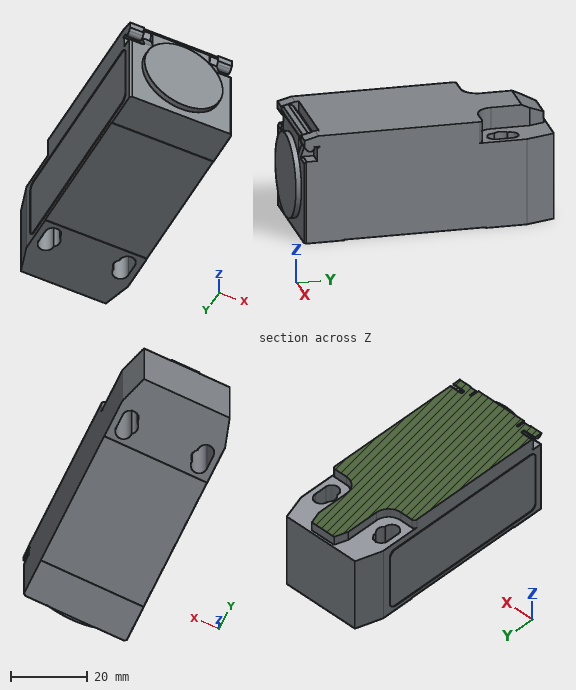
import cadquery as cq
import math

WIDTH = 30.0
LENGTH = 68.0
HEIGHT = 30.0
HALF_WIDTH = WIDTH / 2
REAR_BEVEL_X = 2.5
REAR_BEVEL_Y = 8.0
FRONT_BEVEL_X = 0.6
FRONT_BEVEL_Y = 0.45

LEDGE_Z = 24.0
LEDGE_FRONT_Y = 48.2
LEDGE_OUTER_RADIUS = 0.9

FINGER_HALF_WIDTH = 5.45
FINGER_ROOT_RADIUS = 4.5
FINGER_END_Y = 67.25
FINGER_TIP_HALF_WIDTH = 4.1
FINGER_TAPER_Y = 63.2
FINGER_SLOPE_Y = 61.0
FINGER_TIP_Z = 27.1

SLOT_X = 11.0
SLOT_Y = 54.55
SLOT_DIAMETER = 4.4
SLOT_LENGTH = 8.35
SLOT_HOLE_X = 10.15

PLUG_DIAMETER = 23.0
PLUG_Z = 14.0
PLUG_LENGTH = 1.5

LABEL_THICKNESS = 0.2
LABEL_Y = (2.6, 57.5)
LABEL_Z = (1.7, 21.8)
LABEL_RADIUS = 2.0

RELIEF_Y = (10.7, 49.1)
RELIEF_DEPTH = 0.2

NOSE_SLOPE_Y = 3.8
NOSE_FRONT_Z = 29.0
BAR_HALF_LENGTH = 10.95
BAR_GROOVE_Y = 4.8
BAR_REAR_Y = 4.0
BAR_CREST_Y = 1.9
BAR_DROP = 0.05
BAR_LIP_Y = 0.5
BAR_FRONT_Y = 0.1
BAR_FRONT_Z = 28.0
LID_Z = 27.0

SHOULDER_Z = 23.0
SHOULDER_BEVEL = 0.6
GAP_WALL_Y = 3.45
GAP_WALL_TOP_Z = 26.5
GAP_REAR_Y = 4.1
HOOK_REAR_Y = 2.75
HOOK_BOTTOM_Y = 1.4
HOOK_BOTTOM_Z = 25.78
HOOK_TOE_Y = 0.6
HOOK_TOE_Z = 26.3

RECESS_TOP_Y = 0.9
BAR_END_FRONT_Y = 0.3
BAR_END_BULGE_Y = 0.35
TAB_HALF_WIDTH = 8.35
HOOK_INNER_X = 8.75

SIDES = (-1, 1)


def nose_z(y):
    """Height of the sloped nose at a distance y behind the front face."""
    return NOSE_FRONT_Z + (HEIGHT - NOSE_FRONT_Z) * y / NOSE_SLOPE_Y


def quarter_bend(center_y, center_z, outer_y, outer_z):
    """Middle point of a rounded quarter reaching outer_y and outer_z about its centre."""
    diagonal = math.sqrt(0.5)
    return (
        center_y + (outer_y - center_y) * diagonal,
        center_z + (outer_z - center_z) * diagonal,
    )


def profile_at(x):
    """Sketch plane across X; its local axes are Y and Z."""
    return cq.Workplane("YZ", origin=(x, 0, 0))


def make_body():
    rear_half_width = HALF_WIDTH - REAR_BEVEL_X
    front_half_width = HALF_WIDTH - FRONT_BEVEL_X
    return (
        cq.Workplane("XY")
        .moveTo(-front_half_width, 0)
        .lineTo(front_half_width, 0)
        .lineTo(HALF_WIDTH, FRONT_BEVEL_Y)
        .lineTo(HALF_WIDTH, LENGTH - REAR_BEVEL_Y)
        .lineTo(rear_half_width, LENGTH)
        .lineTo(-rear_half_width, LENGTH)
        .lineTo(-HALF_WIDTH, LENGTH - REAR_BEVEL_Y)
        .lineTo(-HALF_WIDTH, FRONT_BEVEL_Y)
        .close()
        .extrude(LEDGE_Z)
    )


def make_lid():
    root_y = LEDGE_FRONT_Y + FINGER_ROOT_RADIUS
    root_x = FINGER_HALF_WIDTH + FINGER_ROOT_RADIUS
    corner_x = HALF_WIDTH - LEDGE_OUTER_RADIUS
    corner_y = LEDGE_FRONT_Y - LEDGE_OUTER_RADIUS
    return (
        cq.Workplane("XY", origin=(0, 0, LEDGE_Z))
        .moveTo(-HALF_WIDTH, 0)
        .lineTo(HALF_WIDTH, 0)
        .lineTo(HALF_WIDTH, corner_y)
        .radiusArc((corner_x, LEDGE_FRONT_Y), -LEDGE_OUTER_RADIUS)
        .lineTo(root_x, LEDGE_FRONT_Y)
        .radiusArc((FINGER_HALF_WIDTH, root_y), FINGER_ROOT_RADIUS)
        .lineTo(FINGER_HALF_WIDTH, FINGER_TAPER_Y)
        .lineTo(FINGER_TIP_HALF_WIDTH, FINGER_END_Y)
        .lineTo(-FINGER_TIP_HALF_WIDTH, FINGER_END_Y)
        .lineTo(-FINGER_HALF_WIDTH, FINGER_TAPER_Y)
        .lineTo(-FINGER_HALF_WIDTH, root_y)
        .radiusArc((-root_x, LEDGE_FRONT_Y), FINGER_ROOT_RADIUS)
        .lineTo(-corner_x, LEDGE_FRONT_Y)
        .radiusArc((-HALF_WIDTH, corner_y), -LEDGE_OUTER_RADIUS)
        .close()
        .extrude(HEIGHT - LEDGE_Z)
    )


def finger_slope_cut():
    return (
        profile_at(0)
        .polyline([
            (FINGER_SLOPE_Y, HEIGHT),
            (FINGER_END_Y, FINGER_TIP_Z),
            (FINGER_END_Y, HEIGHT),
        ])
        .close()
        .extrude(FINGER_HALF_WIDTH, both=True)
    )


def nose_slope_cut():
    return (
        profile_at(0)
        .polyline([(0, NOSE_FRONT_Z), (NOSE_SLOPE_Y, HEIGHT), (0, HEIGHT)])
        .close()
        .extrude(HALF_WIDTH, both=True)
    )


def bar_groove_cut():
    """Space above and around the hinge bar, between the end blocks."""
    crest_z = nose_z(BAR_CREST_Y) - BAR_DROP
    lip_z = nose_z(BAR_LIP_Y) - BAR_DROP
    rear_bend = quarter_bend(BAR_CREST_Y, LID_Z, BAR_REAR_Y, crest_z)
    front_bend = quarter_bend(BAR_LIP_Y, BAR_FRONT_Z, BAR_FRONT_Y, lip_z)
    return (
        profile_at(0)
        .moveTo(0, BAR_FRONT_Z)
        .lineTo(BAR_FRONT_Y, BAR_FRONT_Z)
        .threePointArc(front_bend, (BAR_LIP_Y, lip_z))
        .lineTo(BAR_CREST_Y, crest_z)
        .threePointArc(rear_bend, (BAR_REAR_Y, LID_Z))
        .lineTo(BAR_GROOVE_Y, LID_Z)
        .lineTo(BAR_GROOVE_Y, HEIGHT)
        .lineTo(0, HEIGHT)
        .close()
        .extrude(BAR_HALF_LENGTH, both=True)
    )


def end_gap_cut(side):
    """Gap between a shoulder and the hooked underside of its end block."""
    return (
        profile_at(side * BAR_HALF_LENGTH)
        .moveTo(0, SHOULDER_Z - SHOULDER_BEVEL)
        .lineTo(SHOULDER_BEVEL, SHOULDER_Z)
        .lineTo(GAP_WALL_Y, SHOULDER_Z)
        .lineTo(GAP_WALL_Y, GAP_WALL_TOP_Z)
        .lineTo(GAP_REAR_Y, LID_Z)
        .lineTo(HOOK_REAR_Y, LID_Z)
        .threePointArc((HOOK_BOTTOM_Y, HOOK_BOTTOM_Z), (HOOK_TOE_Y, HOOK_TOE_Z))
        .lineTo(0, LID_Z)
        .close()
        .extrude(side * (HALF_WIDTH - BAR_HALF_LENGTH))
    )


def bar_end_cut(side):
    """Recess beside the centre tab: a sloped face below the rounded bar end."""
    recess = (
        profile_at(side * TAB_HALF_WIDTH)
        .moveTo(0, SHOULDER_Z)
        .lineTo(RECESS_TOP_Y, HOOK_BOTTOM_Z)
        .threePointArc((BAR_END_BULGE_Y, LID_Z), (BAR_END_FRONT_Y, BAR_FRONT_Z))
        .lineTo(0, BAR_FRONT_Z)
        .close()
        .extrude(side * (BAR_HALF_LENGTH - TAB_HALF_WIDTH))
    )
    clearance = (
        profile_at(side * TAB_HALF_WIDTH)
        .polyline([
            (0, HOOK_BOTTOM_Z),
            (HOOK_REAR_Y, HOOK_BOTTOM_Z),
            (HOOK_REAR_Y, BAR_FRONT_Z),
            (0, BAR_FRONT_Z),
        ])
        .close()
        .extrude(side * (HOOK_INNER_X - TAB_HALF_WIDTH))
    )
    return recess.union(clearance)


def mounting_slot_cut(side):
    slot = (
        cq.Workplane("XY")
        .center(side * SLOT_X, SLOT_Y)
        .slot2D(SLOT_LENGTH, SLOT_DIAMETER, 90)
        .extrude(HEIGHT)
    )
    hole = (
        cq.Workplane("XY")
        .center(side * SLOT_HOLE_X, SLOT_Y)
        .circle(SLOT_DIAMETER / 2)
        .extrude(HEIGHT)
    )
    return slot.union(hole)


def underside_relief_cut():
    start_y, end_y = RELIEF_Y
    return (
        cq.Workplane("XY")
        .center(0, (start_y + end_y) / 2)
        .rect(WIDTH, end_y - start_y)
        .extrude(RELIEF_DEPTH)
    )


def make_plug():
    return (
        cq.Workplane("XZ")
        .center(0, PLUG_Z)
        .circle(PLUG_DIAMETER / 2)
        .extrude(PLUG_LENGTH)
    )


def make_label():
    return (
        profile_at(-HALF_WIDTH)
        .center(sum(LABEL_Y) / 2, sum(LABEL_Z) / 2)
        .rect(LABEL_Y[1] - LABEL_Y[0], LABEL_Z[1] - LABEL_Z[0])
        .extrude(-LABEL_THICKNESS)
        .edges("|X")
        .fillet(LABEL_RADIUS)
    )


result = make_body().union(make_lid())
result = result.cut(finger_slope_cut()).cut(nose_slope_cut()).cut(bar_groove_cut())
for side in SIDES:
    result = result.cut(end_gap_cut(side))
    result = result.cut(bar_end_cut(side))
    result = result.cut(mounting_slot_cut(side))
result = result.cut(underside_relief_cut())
result = result.union(make_plug()).union(make_label())